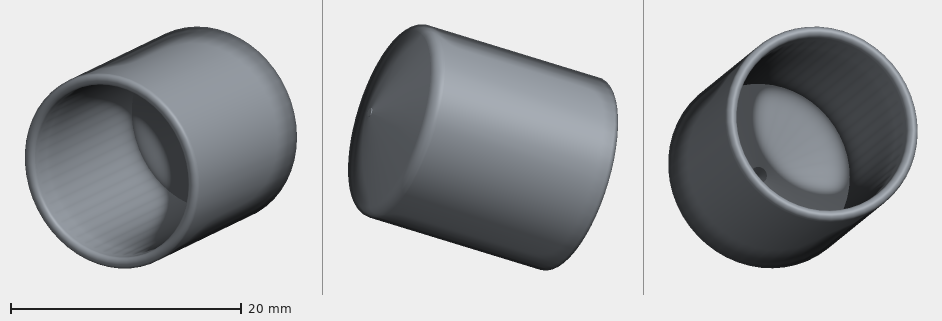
import cadquery as cq
import math

length = 20.0
outer_diameter = 17.5
wall = 1.0
shoulder_radius = 1.0
cone_slope = 14.0
tip_radius = 0.4
tip_height = 0.08
dimple_radius = 0.75
dimple_slope = 45.0

outer_radius = outer_diameter / 2
bore_radius = outer_radius - wall
rim_radius = wall / 2
open_end = -length / 2
closed_end = length / 2
cone_top_y = closed_end - tip_height
slope = math.radians(cone_slope)
cone_rise = math.tan(slope)

shoulder_center_r = outer_radius - shoulder_radius
shoulder_end_r = shoulder_center_r + shoulder_radius * math.sin(slope)
shoulder_end_y = cone_top_y - (shoulder_end_r - tip_radius) * cone_rise
shoulder_center_y = shoulder_end_y - shoulder_radius * math.cos(slope)
mid_angle = (math.pi / 2 - slope) / 2
shoulder_mid = (
    shoulder_center_r + shoulder_radius * math.cos(mid_angle),
    shoulder_center_y + shoulder_radius * math.sin(mid_angle),
)

inner_apex_y = cone_top_y + tip_radius * cone_rise - wall / math.cos(slope)
bore_end_y = inner_apex_y - bore_radius * cone_rise
dimple_edge_y = inner_apex_y - dimple_radius * cone_rise

dimple_tip_y = dimple_edge_y + dimple_radius * math.tan(math.radians(dimple_slope))

profile = (
    cq.Workplane("XY")
    .moveTo(0, closed_end)
    .lineTo(tip_radius, closed_end)
    .lineTo(tip_radius, cone_top_y)
    .lineTo(shoulder_end_r, shoulder_end_y)
    .threePointArc(shoulder_mid, (outer_radius, shoulder_center_y))
    .lineTo(outer_radius, open_end + rim_radius)
    .threePointArc((outer_radius - rim_radius, open_end), (bore_radius, open_end + rim_radius))
    .lineTo(bore_radius, bore_end_y)
    .lineTo(dimple_radius, dimple_edge_y)
    .lineTo(0, dimple_tip_y)
    .close()
)

result = profile.revolve(360, (0, 0, 0), (0, 1, 0))